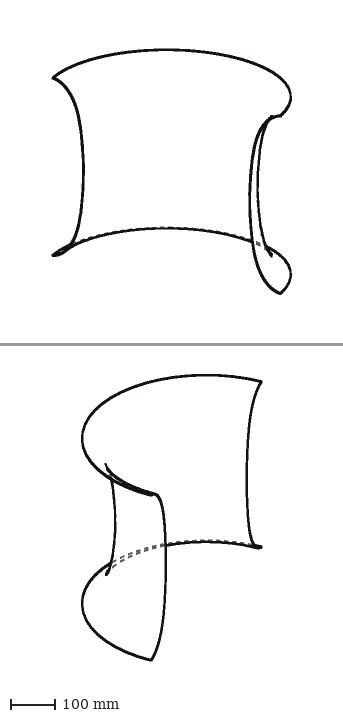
import cadquery as cq
import math

rim_radius = 282.5
height = 438.0
wall = 2.0
sweep_angle = 180.0

waist_lean = math.radians(10.5)
flare_lean = math.radians(35.4)
rim_lean = math.radians(77.8)
flare_radius = 152.5
lip_radius = 63.0

outer_rim_height = height / 2 - wall * math.sin(rim_lean)

flare_rise = flare_radius * (math.sin(flare_lean) - math.sin(waist_lean))
lip_rise = lip_radius * (math.sin(rim_lean) - math.sin(flare_lean))
waist_arc_radius = (outer_rim_height - flare_rise - lip_rise) / math.sin(waist_lean)

flare_arcs = [
    (waist_arc_radius, 0, waist_lean),
    (flare_radius, waist_lean, flare_lean),
    (lip_radius, flare_lean, rim_lean),
]

outward_run = sum(radius * (math.cos(start) - math.cos(end)) for radius, start, end in flare_arcs)
waist_radius = rim_radius - outward_run


def flare_points(inset):
    """Middle and end point of each arc in the upper half, on the face at the given depth in the wall."""
    points = [(waist_radius - inset, 0)]
    for radius, start, end in flare_arcs:
        arc_radius = radius + inset
        start_r, start_z = points[-1]
        for lean in ((start + end) / 2, end):
            r = start_r + arc_radius * (math.cos(start) - math.cos(lean))
            z = start_z + arc_radius * (math.sin(lean) - math.sin(start))
            points.append((r, z))
    return points


def rim_to_rim(inset):
    """Points of a whole face, from bottom rim to top rim, mirrored about the waist."""
    upper_half = flare_points(inset)
    lower_half = [(r, -z) for r, z in reversed(upper_half[1:])]
    return lower_half + upper_half


outer_face = rim_to_rim(0)
inner_face = rim_to_rim(wall)
inner_face.reverse()

section = cq.Workplane("XZ").moveTo(*outer_face[0])
section = section.spline(outer_face[1:], includeCurrent=True)
section = section.lineTo(*inner_face[0])
section = section.spline(inner_face[1:], includeCurrent=True).close()

result = section.revolve(sweep_angle, (0, 0, 0), (0, 1, 0))